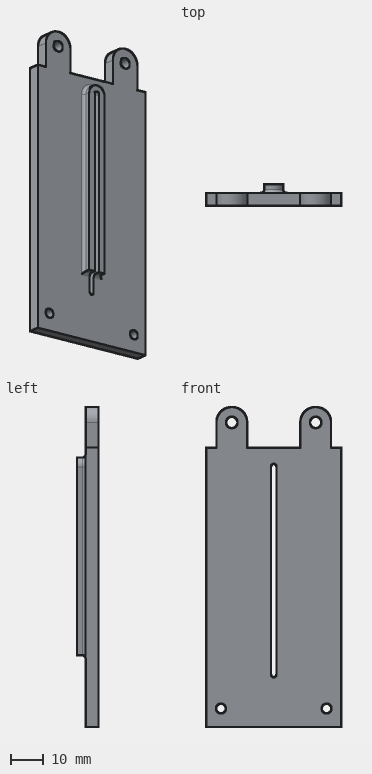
import cadquery as cq

total_height = 97.1
plate_width = 41.0
plate_height = 84.8
plate_thickness = 4.0
total_depth = 6.6

tab_width = 9.4
tab_radius = tab_width / 2
tab_offset = 12.7
tab_hole_diameter = 3.4
tab_hole_height = total_height - tab_radius

mount_hole_diameter = 2.9
mount_hole_offset = 16.0
mount_hole_height = 5.6

rib_width = 5.8
rib_radius = rib_width / 2
rib_bottom = 21.75
rib_top = 81.8
rib_depth = total_depth - plate_thickness
rib_root_fillet = 1.0

slot_width = 1.6
slot_bottom = 15.1
slot_top = 79.8


def front_plane(y=0.0):
    """Plane parallel to the plate, with x to the right, z up and its normal along -Y."""
    return cq.Workplane("XZ", origin=(0, y, 0))


def make_plate():
    plate = front_plane().rect(plate_width, plate_height).extrude(-plate_thickness)
    return plate.translate((0, 0, plate_height / 2))


def make_tab(x):
    return (
        front_plane()
        .moveTo(x - tab_radius, plate_height)
        .lineTo(x - tab_radius, tab_hole_height)
        .threePointArc((x, total_height), (x + tab_radius, tab_hole_height))
        .lineTo(x + tab_radius, plate_height)
        .close()
        .extrude(-plate_thickness)
    )


def make_rib():
    arc_start = rib_top - rib_radius
    return (
        front_plane(plate_thickness)
        .moveTo(-rib_radius, rib_bottom)
        .lineTo(-rib_radius, arc_start)
        .threePointArc((0, rib_top), (rib_radius, arc_start))
        .lineTo(rib_radius, rib_bottom)
        .close()
        .extrude(-rib_depth)
    )


def make_hole_pair(offset, height, diameter):
    centres = [(-offset, height), (offset, height)]
    return front_plane().pushPoints(centres).circle(diameter / 2).extrude(-plate_thickness)


def make_slot():
    slot_middle = (slot_bottom + slot_top) / 2
    return (
        front_plane()
        .center(0, slot_middle)
        .slot2D(slot_top - slot_bottom, slot_width, angle=90)
        .extrude(-total_depth)
    )


body = make_plate()
for side in (-1, 1):
    body = body.union(make_tab(side * tab_offset))
body = body.union(make_rib())

selection_margin = 0.1
rib_root = cq.selectors.BoxSelector(
    (-rib_width, plate_thickness - selection_margin, rib_bottom - selection_margin),
    (rib_width, plate_thickness + selection_margin, rib_top + selection_margin),
)
body = body.edges(rib_root).fillet(rib_root_fillet)

body = body.cut(make_hole_pair(tab_offset, tab_hole_height, tab_hole_diameter))
body = body.cut(make_hole_pair(mount_hole_offset, mount_hole_height, mount_hole_diameter))
result = body.cut(make_slot())